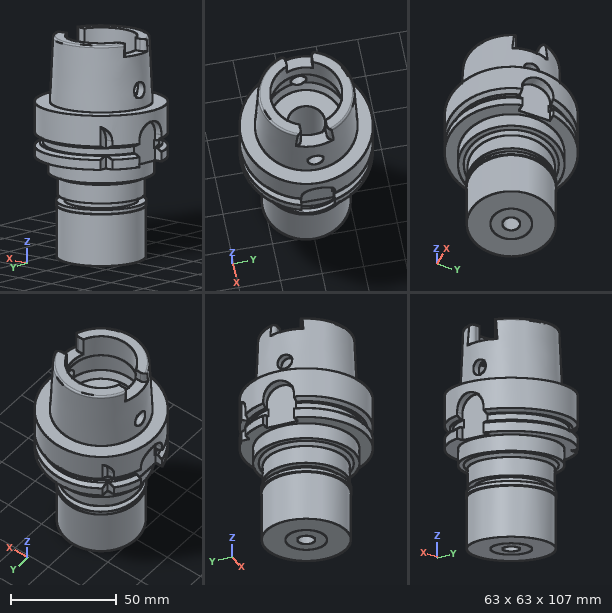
import cadquery as cq
import math

total_height = 107.0
nut_flange_bottom = 25.4
nut_top = 27.3
neck_top = 30.3
shank_top = 39.3
collar_bottom = 41.1
flange_bottom = 49.0
groove_center = 57.0
flange_top = 75.1

taper_base_radius = 24.3
taper_top_radius = 22.8
flange_radius = 31.51
collar_radius = 25.1
collar_step_radius = 22.5
shank_radius = 20.7
neck_radius = 17.3
nose_bottom = 5.5

groove_radius = 27.5
groove_step_radius = 29.0
groove_floor_half = 1.8
groove_slope = 30.0
groove_mouth_half = groove_floor_half + (flange_radius - groove_step_radius) * math.tan(math.radians(groove_slope))

cavity_mouth_radius = 17.0
undercut_radius = 19.8
undercut_top = 94.0
undercut_bottom = 81.1
cavity_chamfer_run = 2.1
cavity_chamfer_drop = 3.7
cavity_floor = undercut_bottom - cavity_chamfer_drop

drive_slot_width = 12.5
left_slot_depth = 5.9
right_slot_depth = 10.1
rim_corner_radius = 2.7
flare_circle_radius = 23.4
rim_fillet = 1.0

cross_hole_diameter = 7.6
cross_hole_height = 84.0

keyway_radius = 8.0
keyway_arc_height = 62.0
keyway_floor = 26.5
notch_floor = 20.1
notch_edge = 20.3
notch_arc_height = 62.8

collet_hole_radius = 4.2
collet_back_radius = 9.0
collet_angle = 8.0
collet_top = 34.0
collet_front_angle = 30.0
collet_big_radius = collet_back_radius + (collet_top - nose_bottom) * math.tan(math.radians(collet_angle))
collet_front_radius = collet_big_radius - nose_bottom * math.tan(math.radians(collet_front_angle))

nut_radius = 21.1
nut_flange_radius = 21.4


def revolve_profile(points):
    """Turn a closed (radius, height) outline around Z."""
    return cq.Workplane("XZ").polyline(points).close().revolve(360, (0, 0, 0), (0, 1, 0))


def turned_holder():
    """Outside of the holder, from the nose up to the rim of the taper."""
    blank = revolve_profile([
        (0, nose_bottom),
        (neck_radius, nose_bottom),
        (neck_radius, neck_top),
        (shank_radius, neck_top),
        (shank_radius, shank_top),
        (collar_step_radius, collar_bottom),
        (collar_radius, collar_bottom),
        (collar_radius, flange_bottom),
        (flange_radius, flange_bottom),
        (flange_radius, groove_center - groove_mouth_half),
        (groove_step_radius, groove_center - groove_floor_half),
        (groove_radius, groove_center - groove_floor_half),
        (groove_radius, groove_center + groove_floor_half),
        (groove_step_radius, groove_center + groove_floor_half),
        (flange_radius, groove_center + groove_mouth_half),
        (flange_radius, flange_top),
        (taper_base_radius, flange_top),
        (taper_top_radius, total_height),
        (0, total_height),
    ])
    return blank.faces(">Z").edges().fillet(rim_fillet)


def holder_bore():
    """Clamping cavity, the bore below it, and the conical seat for the collet."""
    return revolve_profile([
        (0, nose_bottom),
        (collet_big_radius, nose_bottom),
        (collet_back_radius, collet_top),
        (collet_back_radius, cavity_floor),
        (undercut_radius - cavity_chamfer_run, cavity_floor),
        (undercut_radius, undercut_bottom),
        (undercut_radius, undercut_top),
        (cavity_mouth_radius, undercut_top),
        (cavity_mouth_radius, total_height),
        (0, total_height),
    ])


def drive_slot(side, depth):
    """Rim slot cutter whose walls flare out in tangent arcs; side is -1 for -X and +1 for +X."""
    half_width = drive_slot_width / 2

    arc_center_y = half_width + rim_corner_radius
    center_distance = flare_circle_radius - rim_corner_radius
    arc_center_x = math.sqrt(center_distance**2 - arc_center_y**2)
    center_angle = math.atan2(arc_center_y, arc_center_x)
    mid_angle = (center_angle - math.pi / 2) / 2
    arc_mid_x = arc_center_x + rim_corner_radius * math.cos(mid_angle)
    arc_mid_y = arc_center_y + rim_corner_radius * math.sin(mid_angle)
    arc_end_x = flare_circle_radius * math.cos(center_angle)
    arc_end_y = flare_circle_radius * math.sin(center_angle)

    return (
        cq.Workplane("XY", origin=(0, 0, total_height - depth))
        .moveTo(0, -half_width)
        .lineTo(side * arc_center_x, -half_width)
        .threePointArc((side * arc_mid_x, -arc_mid_y), (side * arc_end_x, -arc_end_y))
        .lineTo(side * flange_radius, -arc_end_y)
        .lineTo(side * flange_radius, arc_end_y)
        .lineTo(side * arc_end_x, arc_end_y)
        .threePointArc((side * arc_mid_x, arc_mid_y), (side * arc_center_x, half_width))
        .lineTo(0, half_width)
        .close()
        .extrude(2 * depth)
    )


def cross_hole():
    return (
        cq.Workplane("YZ", origin=(0, 0, cross_hole_height))
        .circle(cross_hole_diameter / 2)
        .extrude(flange_radius, both=True)
    )


def keyway(side, center_y, arc_height, floor):
    """Round-topped cutter, open at the flange bottom, with a flat floor normal to X."""
    return (
        cq.Workplane("YZ", origin=(side * floor, 0, 0))
        .moveTo(center_y - keyway_radius, flange_bottom)
        .lineTo(center_y - keyway_radius, arc_height)
        .threePointArc(
            (center_y, arc_height + keyway_radius),
            (center_y + keyway_radius, arc_height),
        )
        .lineTo(center_y + keyway_radius, flange_bottom)
        .close()
        .extrude(side * flange_radius)
    )


def make_holder():
    holder = turned_holder().cut(holder_bore()).cut(cross_hole())
    for side, depth in ((-1, left_slot_depth), (1, right_slot_depth)):
        holder = holder.cut(drive_slot(side, depth))
    for side in (-1, 1):
        holder = holder.cut(keyway(side, 0, keyway_arc_height, keyway_floor))
    return holder.cut(keyway(-1, notch_edge + keyway_radius, notch_arc_height, notch_floor))


def make_collet():
    return revolve_profile([
        (collet_hole_radius, 0),
        (collet_front_radius, 0),
        (collet_big_radius, nose_bottom),
        (collet_back_radius, collet_top),
        (collet_hole_radius, collet_top),
    ])


def make_nut():
    return revolve_profile([
        (collet_front_radius, 0),
        (nut_radius, 0),
        (nut_radius, nut_flange_bottom - nut_flange_radius + nut_radius),
        (nut_flange_radius, nut_flange_bottom),
        (nut_flange_radius, nut_top),
        (neck_radius, nut_top),
        (neck_radius, nose_bottom),
        (collet_big_radius, nose_bottom),
    ])


holder = make_holder()
collet = make_collet()
nut = make_nut()

result = cq.Compound.makeCompound([holder.val(), collet.val(), nut.val()])